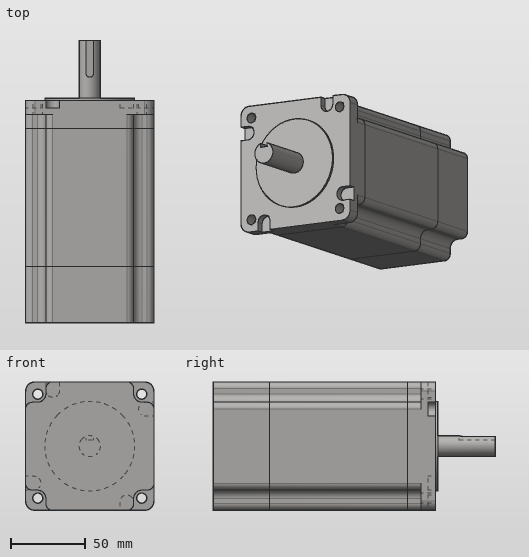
import cadquery as cq

TOTAL_LENGTH = 189.0
FRAME_WIDTH = 86.0
HALF_WIDTH = FRAME_WIDTH / 2

SHAFT_REACH = 40.0
PILOT_HEIGHT = 1.5
FLANGE_THICKNESS = 9.6
FRONT_CAP_LENGTH = 18.7
REAR_CAP_LENGTH = 37.8
MOTOR_LENGTH = TOTAL_LENGTH - SHAFT_REACH
STACK_LENGTH = MOTOR_LENGTH - FRONT_CAP_LENGTH - REAR_CAP_LENGTH

CORNER_RELIEF = 13.6
RELIEF_INNER_RADIUS = 5.7
RELIEF_LIP_RADIUS = 4.5

FLANGE_CORNER_RADIUS = 6.2
BOLT_SPACING = 69.5
BOLT_HOLE_DIAMETER = 6.6
PILOT_DIAMETER = 60.1

NOTCH_WIDTH = 9.3
NOTCH_DEPTH = 5.1
NOTCH_OFFSET = 24.8
NOTCH_STRAIGHT = 5.7
NOTCH_COUNT = 4

SHAFT_DIAMETER = 14.2
KEYWAY_WIDTH = 5.1
KEYWAY_LENGTH = 24.5
KEYWAY_DEPTH = 3.0


def plane_at(y):
    """Plane across the axis at Y = y: local x is X, local y is Z and the normal is -Y."""
    return cq.Workplane("XZ", origin=(0, y, 0))


def body_section(front_y, length):
    """Length of square body with relieved corners, running back from front_y."""
    wall = HALF_WIDTH - CORNER_RELIEF
    body = (
        plane_at(front_y)
        .rect(FRAME_WIDTH, 2 * wall)
        .extrude(length)
        .union(plane_at(front_y).rect(2 * wall, FRAME_WIDTH).extrude(length))
    )
    between = HALF_WIDTH - CORNER_RELIEF / 2
    inner_corners = cq.selectors.BoxSelector(
        (-between, -TOTAL_LENGTH, -between), (between, TOTAL_LENGTH, between)
    )
    along_axis = cq.selectors.ParallelDirSelector(cq.Vector(0, 1, 0))
    body = body.edges(along_axis - inner_corners).fillet(RELIEF_LIP_RADIUS)
    return body.edges(along_axis & inner_corners).fillet(RELIEF_INNER_RADIUS)


def notch_cutter():
    """Round-bottomed notch for the top side, reaching back from the mounting face."""
    round_radius = NOTCH_WIDTH / 2
    left = -NOTCH_OFFSET - round_radius
    right = -NOTCH_OFFSET + round_radius
    straight_end = HALF_WIDTH - NOTCH_STRAIGHT
    return (
        plane_at(0)
        .moveTo(left, HALF_WIDTH)
        .lineTo(left, straight_end)
        .threePointArc((-NOTCH_OFFSET, straight_end - round_radius), (right, straight_end))
        .lineTo(right, HALF_WIDTH)
        .close()
        .extrude(NOTCH_DEPTH)
    )


def make_front_cap():
    """Mounting flange with pilot, bolt holes and notches, and the short body behind it."""
    flange = (
        plane_at(0)
        .rect(FRAME_WIDTH, FRAME_WIDTH)
        .extrude(FLANGE_THICKNESS)
        .edges("|Y")
        .fillet(FLANGE_CORNER_RADIUS)
    )
    bolt_holes = (
        plane_at(0)
        .rect(BOLT_SPACING, BOLT_SPACING, forConstruction=True)
        .vertices()
        .circle(BOLT_HOLE_DIAMETER / 2)
        .extrude(FLANGE_THICKNESS)
    )
    pilot = plane_at(PILOT_HEIGHT).circle(PILOT_DIAMETER / 2).extrude(PILOT_HEIGHT)
    rear_body = body_section(-FLANGE_THICKNESS, FRONT_CAP_LENGTH - FLANGE_THICKNESS)
    cap = flange.cut(bolt_holes).union(rear_body)
    for index in range(NOTCH_COUNT):
        angle = index * 360 / NOTCH_COUNT
        cap = cap.cut(notch_cutter().rotate((0, 0, 0), (0, 1, 0), angle))
    return cap.union(pilot)


def make_stator_stack():
    """Middle body between the two caps."""
    return body_section(-FRONT_CAP_LENGTH, STACK_LENGTH)


def make_rear_cap():
    """Plain body closing the back of the motor."""
    return body_section(-FRONT_CAP_LENGTH - STACK_LENGTH, REAR_CAP_LENGTH)


def make_shaft():
    """Output shaft standing on the pilot, with a keyway open at the tip."""
    shaft_radius = SHAFT_DIAMETER / 2
    shaft = plane_at(SHAFT_REACH).circle(shaft_radius).extrude(SHAFT_REACH - PILOT_HEIGHT)
    key_radius = KEYWAY_WIDTH / 2
    round_center_y = SHAFT_REACH - KEYWAY_LENGTH + key_radius
    keyway = (
        cq.Workplane("XY", origin=(0, 0, shaft_radius - KEYWAY_DEPTH))
        .moveTo(-key_radius, SHAFT_REACH)
        .lineTo(-key_radius, round_center_y)
        .threePointArc((0, round_center_y - key_radius), (key_radius, round_center_y))
        .lineTo(key_radius, SHAFT_REACH)
        .close()
        .extrude(KEYWAY_DEPTH)
    )
    return shaft.cut(keyway)


front_cap = make_front_cap()
stator_stack = make_stator_stack()
rear_cap = make_rear_cap()
shaft = make_shaft()

result = cq.Compound.makeCompound([front_cap.val(), stator_stack.val(), rear_cap.val(), shaft.val()])